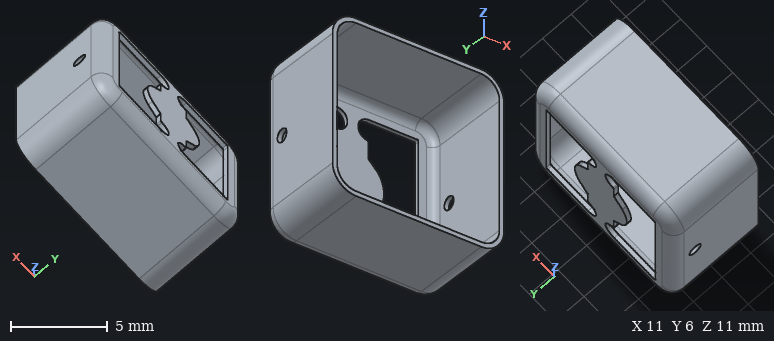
import cadquery as cq
import math

side = 11.0
depth = 6.0
wall = 0.3
corner_radius = 1.5
floor_edge_radius = 0.8

opening_half = 4.2
opening_corner_radius = 0.1
web_half = 1.0
lobe_radius = 0.65
disk_radius = 2.0
shoulder_height = 1.79
shoulder_end_angle = math.radians(35)

pin_diameter = 0.8
pin_from_floor = 1.6

floor_y = depth / 2


def rounded_block(size, length, vertical_radius, end_radius, end_y):
    """Square block along Y with rounded corners and a rounded +Y end at end_y."""
    block = cq.Workplane("XZ", origin=(0, end_y, 0)).rect(size, size).extrude(length)
    return block.edges("|Y").fillet(vertical_radius).faces(">Y").edges().fillet(end_radius)


def cup():
    outer = rounded_block(side, depth, corner_radius, floor_edge_radius, floor_y)
    cavity = rounded_block(
        side - 2 * wall,
        depth,
        corner_radius - wall,
        floor_edge_radius - wall,
        floor_y - wall,
    )
    return outer.cut(cavity)


def floor_opening():
    """Cutter for the +X opening, bounded by the web and disk on its inner side."""
    lobe_z = opening_half - lobe_radius
    lobe_tip_x = web_half - lobe_radius
    lobe_bottom = lobe_z - lobe_radius
    disk_x = disk_radius * math.cos(shoulder_end_angle)
    disk_z = disk_radius * math.sin(shoulder_end_angle)
    cutter = (
        cq.Workplane("XZ", origin=(0, floor_y, 0))
        .moveTo(opening_half, opening_half)
        .lineTo(web_half, opening_half)
        .threePointArc((lobe_tip_x, lobe_z), (web_half, lobe_bottom))
        .lineTo(web_half, shoulder_height)
        .lineTo(disk_x, disk_z)
        .threePointArc((disk_radius, 0), (disk_x, -disk_z))
        .lineTo(web_half, -shoulder_height)
        .lineTo(web_half, -lobe_bottom)
        .threePointArc((lobe_tip_x, -lobe_z), (web_half, -opening_half))
        .lineTo(opening_half, -opening_half)
        .close()
        .extrude(wall)
    )
    cutter = cutter.edges("|Y and >X").fillet(opening_corner_radius)
    for corner_z in (lobe_bottom, -lobe_bottom):
        corner = (web_half, floor_y - wall / 2, corner_z)
        nearest = cq.selectors.NearestToPointSelector(corner)
        cutter = cutter.edges("|Y").edges(nearest).fillet(opening_corner_radius)
    return cutter


def pin_hole():
    return (
        cq.Workplane("YZ", origin=(-side / 2, floor_y - pin_from_floor, 0))
        .circle(pin_diameter / 2)
        .extrude(side)
    )


opening = floor_opening()
result = cup().cut(opening).cut(opening.mirror("YZ")).cut(pin_hole())